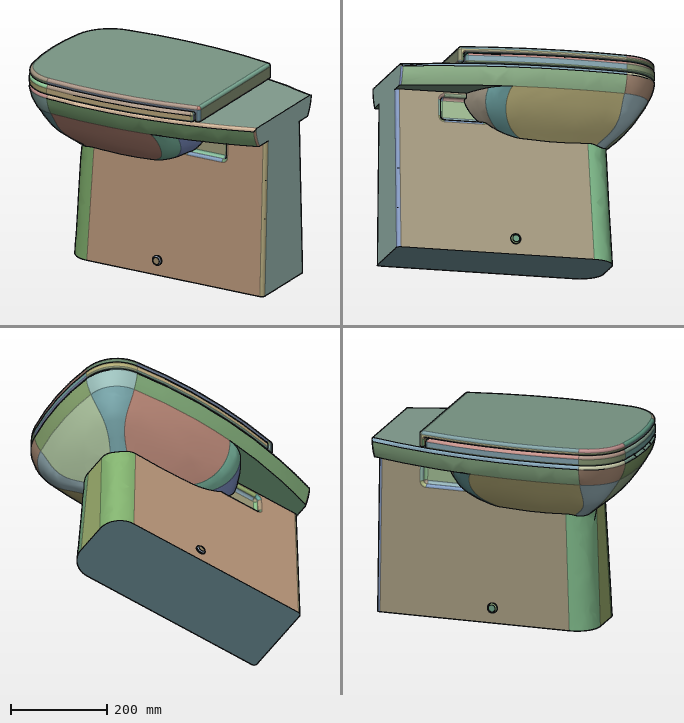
import cadquery as cq
import math

LENGTH = 559.0
HALF_WIDTH = 175.0
TOLERANCE = 0.05

FRONT_RADIUS = 503.0
SIDE_RADIUS = 1062.0
SIDE_APEX_X = 212.5
CORNER_RADIUS = 90.5
MIN_CORNER_RADIUS = 28.0

TOP_Z = 422.0
LID_THICKNESS = 12.5
SEAT_THICKNESS = 20.5
LID_GAP = 1.5
SEAT_GAP = 1.5
EDGE_RADIUS = 6.5
LOWER_EDGE_RADIUS = 3.0
LID_BOTTOM_Z = TOP_Z - LID_THICKNESS
SEAT_TOP_Z = LID_BOTTOM_Z - LID_GAP
SEAT_BOTTOM_Z = SEAT_TOP_Z - SEAT_THICKNESS
RIM_TOP_Z = SEAT_BOTTOM_Z - SEAT_GAP
RIM_Z = RIM_TOP_Z - EDGE_RADIUS
FLANGE_BOTTOM_Z = 341.5

LID_INSET = 1.0
LID_BACK_X = 444.0
SKIRT_FRONT_X = 432.5
SKIRT_BOTTOM_Z = 388.5
SKIRT_CORNER_RADIUS = 4.5
SEAT_BACK_X = 428.5
LID_CORNER_RADIUS = 7.0
SEAT_CORNER_RADIUS = 4.5

FLANGE_MIDDLE_Z = 360.5
FLANGE_MIDDLE_INSET = 4.5
FLANGE_INSET = 14.0
FLANGE_CORNER_RADIUS = 5.0
RIM_TRIM = 28.0

BOWL_STATIONS = [
    (FLANGE_BOTTOM_Z, FLANGE_INSET, 419.0),
    (318.5, 29.0, 415.0),
    (294.0, 48.0, 399.0),
    (266.5, 77.5, 363.5),
    (240.0, 105.0, 296.0),
]
BOWL_BACK_RADIUS = 223.5
BOWL_REAR_CORNER_RADIUS = 72.5
REAR_CORNER_SHRINK = 0.5

PEDESTAL_FRONT_X = 85.0
PEDESTAL_HALF_WIDTH = 85.0
FRONT_SLOPE = 0.045
SIDE_SLOPE = 0.04
PEDESTAL_FRONT_CORNER_RADIUS = 51.0
PEDESTAL_BACK_CORNER_RADIUS = 8.0

RECESS_FRONT_X = 358.0
RECESS_BACK_X = 467.0
RECESS_BOTTOM_Z = 276.5
RECESS_TOP_Z = 337.5
RECESS_DEPTH = 13.0
RECESS_CORNER_RADIUS = 7.0
RECESS_EDGE_RADIUS = 6.0

CAP_X = 304.5
CAP_Z = 33.0
CAP_DIAMETER = 21.0
CAP_FACE_DIAMETER = 15.0
CAP_HEIGHT = 5.5

SIDES = (-1, 1)


def side_half_width(x, inset):
    """Half width of the plan outline at x, moved inwards by inset."""
    radius = SIDE_RADIUS - inset
    return HALF_WIDTH - SIDE_RADIUS + math.sqrt(radius**2 - (x - SIDE_APEX_X)**2)


def arc_end_x(nose_x, radius, inset, direction):
    """X where an end arc (centre on the X axis) meets the side arc.

    direction is +1 for an arc that bulges towards -X, -1 for one that bulges towards +X.
    """
    centre_x = nose_x + direction * radius
    side_centre_y = HALF_WIDTH - SIDE_RADIUS
    dx = SIDE_APEX_X - centre_x
    distance = math.hypot(dx, side_centre_y)
    along = (radius**2 - (SIDE_RADIUS - inset)**2 + distance**2) / (2 * distance)
    across = math.sqrt(radius**2 - along**2)
    return centre_x + (along * dx + direction * across * side_centre_y) / distance


def outline(z, inset, back_x, back_corner_radius=0, back_radius=None):
    """Closed plan outline at height z; its back is straight, or bowed if back_radius is given."""
    front_x = arc_end_x(inset, FRONT_RADIUS - inset, inset, 1)
    front_y = side_half_width(front_x, inset)
    rear_x = arc_end_x(back_x, back_radius, inset, -1) if back_radius else back_x
    rear_y = side_half_width(rear_x, inset)
    middle_x = (front_x + rear_x) / 2
    middle_y = side_half_width(middle_x, inset)

    sketch = (
        cq.Workplane("XY", origin=(0, 0, z))
        .moveTo(front_x, front_y)
        .threePointArc((inset, 0), (front_x, -front_y))
        .threePointArc((middle_x, -middle_y), (rear_x, -rear_y))
    )
    if back_radius:
        sketch = sketch.threePointArc((back_x, 0), (rear_x, rear_y))
    else:
        sketch = sketch.lineTo(rear_x, rear_y)
    wire = sketch.threePointArc((middle_x, middle_y), (front_x, front_y)).wire().val()

    front_corners = [v for v in wire.Vertices() if v.X < middle_x]
    wire = wire.fillet2D(max(CORNER_RADIUS - inset, MIN_CORNER_RADIUS), front_corners)
    if back_corner_radius:
        back_corners = [v for v in wire.Vertices() if v.X > rear_x - TOLERANCE]
        wire = wire.fillet2D(back_corner_radius, back_corners)
    return wire


def plate(bottom_z, top_z, inset, back_x, back_corner_radius):
    """Flat plate with the plan outline."""
    wire = outline(bottom_z, inset, back_x, back_corner_radius)
    return cq.Workplane(cq.Solid.extrudeLinear(wire, [], cq.Vector(0, 0, top_z - bottom_z)))


def make_lid():
    lid = plate(SKIRT_BOTTOM_Z, TOP_Z, LID_INSET, LID_BACK_X, LID_CORNER_RADIUS)
    lid = lid.faces(">Z").edges().fillet(EDGE_RADIUS)
    seat_room = (
        cq.Workplane("XY")
        .box(LENGTH, LENGTH, LENGTH, centered=(False, True, False))
        .translate((SKIRT_FRONT_X - LENGTH, 0, LID_BOTTOM_Z - LENGTH))
        .edges(">X and >Z").fillet(SKIRT_CORNER_RADIUS)
    )
    lid = lid.cut(seat_room)
    underside = cq.selectors.BoxSelector(
        (-LENGTH, -LENGTH, 0), (LENGTH, LENGTH, LID_BOTTOM_Z + TOLERANCE), boundingbox=True
    )
    lower_edges = lid.edges(underside).edges("not |Y").add(lid.edges("<Z"))
    return lower_edges.fillet(LOWER_EDGE_RADIUS)


def make_seat():
    seat = plate(SEAT_BOTTOM_Z, SEAT_TOP_Z, 0, SEAT_BACK_X, SEAT_CORNER_RADIUS)
    seat = seat.faces(">Z").edges().fillet(EDGE_RADIUS)
    return seat.faces("<Z").edges().fillet(LOWER_EDGE_RADIUS)


def make_rim():
    oversized = plate(FLANGE_BOTTOM_Z, RIM_TOP_Z, 0, LENGTH + RIM_TRIM, 0)
    rounded = oversized.faces(">Z").edges().fillet(EDGE_RADIUS)
    return rounded.intersect(plate(RIM_Z, RIM_TOP_Z, 0, LENGTH, FLANGE_CORNER_RADIUS))


def make_flange():
    levels = [
        (RIM_Z, 0),
        (FLANGE_MIDDLE_Z, FLANGE_MIDDLE_INSET),
        (FLANGE_BOTTOM_Z, FLANGE_INSET),
    ]
    return cq.Workplane(cq.Solid.makeLoft(
        [outline(z, inset, LENGTH, FLANGE_CORNER_RADIUS) for z, inset in levels]
    ))


def make_bowl():
    return cq.Workplane(cq.Solid.makeLoft([
        outline(z, inset, back_x, BOWL_REAR_CORNER_RADIUS - REAR_CORNER_SHRINK * inset,
                BOWL_BACK_RADIUS - inset)
        for z, inset, back_x in BOWL_STATIONS
    ]))


def pedestal_half_width(z):
    return PEDESTAL_HALF_WIDTH - SIDE_SLOPE * z


def pedestal_section(z):
    """Rectangular plan section of the pedestal at height z."""
    front_x = PEDESTAL_FRONT_X + FRONT_SLOPE * z
    half_width = pedestal_half_width(z)
    return cq.Wire.makePolygon(
        [
            cq.Vector(front_x, -half_width, z),
            cq.Vector(LENGTH, -half_width, z),
            cq.Vector(LENGTH, half_width, z),
            cq.Vector(front_x, half_width, z),
        ],
        close=True,
    )


def flank_plane(side, x, z):
    """Plane on the sloping flank at side = -1 or +1, with its normal pointing outwards."""
    return cq.Plane(
        origin=(x, side * pedestal_half_width(z), z),
        xDir=(1, 0, 0),
        normal=(0, side, SIDE_SLOPE),
    )


def make_recess(side):
    """Cutter for the recess in one flank, with rounded floor edges."""
    length = RECESS_BACK_X - RECESS_FRONT_X - 2 * RECESS_EDGE_RADIUS
    height = RECESS_TOP_Z - RECESS_BOTTOM_Z - 2 * RECESS_EDGE_RADIUS
    centre_x = (RECESS_FRONT_X + RECESS_BACK_X) / 2
    centre_z = (RECESS_BOTTOM_Z + RECESS_TOP_Z) / 2
    recess = (
        cq.Workplane(flank_plane(side, centre_x, centre_z))
        .rect(length, height)
        .extrude(RECESS_DEPTH, both=True)
        .edges(cq.selectors.ParallelDirSelector(cq.Vector(0, side, SIDE_SLOPE)))
        .fillet(RECESS_CORNER_RADIUS)
    )
    floor = "<Y" if side > 0 else ">Y"
    return recess.faces(floor).edges().fillet(RECESS_EDGE_RADIUS)


def make_pedestal():
    sections = [pedestal_section(z) for z in (0, FLANGE_MIDDLE_Z)]
    pedestal = cq.Workplane(cq.Solid.makeLoft(sections, True))
    pedestal = pedestal.edges("not(<Z or >Z)").edges("<X").fillet(PEDESTAL_FRONT_CORNER_RADIUS)
    pedestal = pedestal.edges("not(<Z or >Z)").edges(">X").fillet(PEDESTAL_BACK_CORNER_RADIUS)
    for side in SIDES:
        pedestal = pedestal.cut(make_recess(side))
    mouths = [wire for face in pedestal.faces().vals() for wire in face.innerWires()]
    return pedestal.newObject(mouths).edges().fillet(RECESS_EDGE_RADIUS)


def make_pan():
    """Pedestal, bowl, flange and rim, one piece of ceramic."""
    return make_pedestal().union(make_bowl()).union(make_flange()).union(make_rim())


def make_cap(side):
    """Round cap lying on one flank, chamfered down to its outer face."""
    chamfer = (CAP_DIAMETER - CAP_FACE_DIAMETER) / 2
    cap = (
        cq.Workplane(flank_plane(side, CAP_X, CAP_Z))
        .circle(CAP_DIAMETER / 2)
        .extrude(CAP_HEIGHT)
    )
    outer_face = ">Y" if side > 0 else "<Y"
    return cap.faces(outer_face).edges().chamfer(chamfer)


pan = make_pan()
seat = make_seat()
lid = make_lid()
caps = [make_cap(side) for side in SIDES]

result = cq.Compound.makeCompound(
    [pan.val(), seat.val(), lid.val(), *[cap.val() for cap in caps]]
)